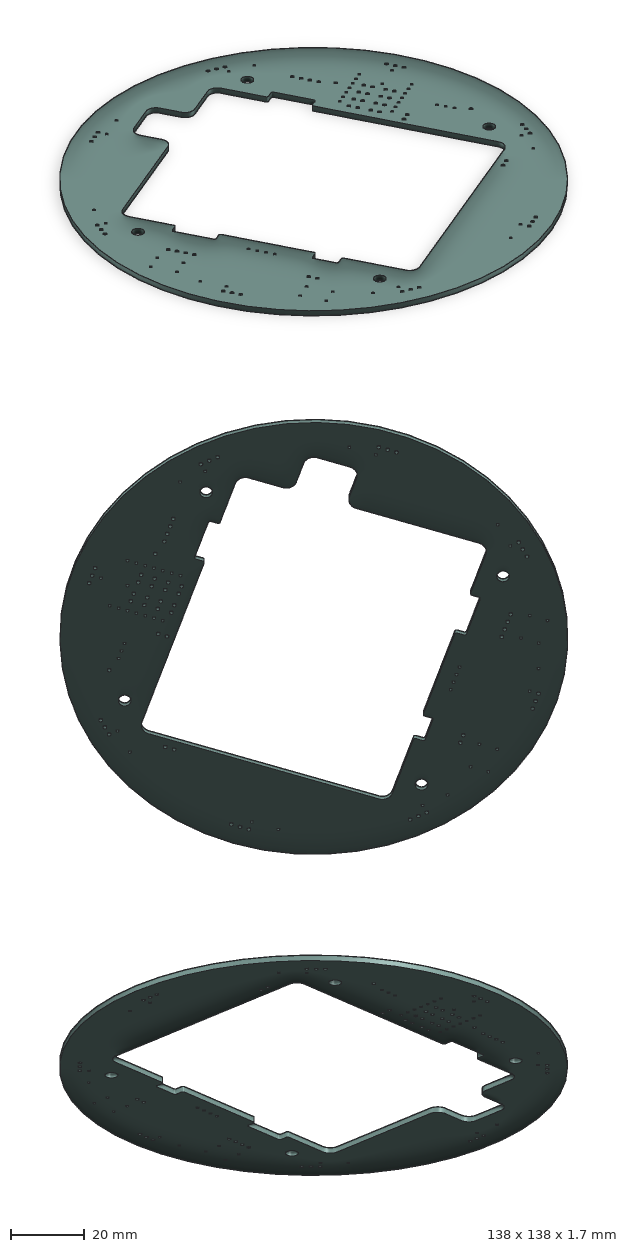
import cadquery as cq
import math

board_diameter = 138
board_thickness = 1.7

window_width = 86.1
window_height = 71.8
corner_radius = 2.9
side_notch_depth = 12.0
side_notch_width = 15.2
side_notch_center_y = 12.7
edge_notch_depth = 3.0
notch_radius = 0.5
wide_notch_width = 12.7
wide_notch_center_x = -20.3
narrow_notch_width = 7.6
narrow_notch_center_x = 17.8

mount_diameter = 3.5
pin_diameter = 1.0
via_diameter = 0.76

mount_offset_x = 35.0
mount_offset_y = 42.5

connector_y = 48.3
connector_start_x = 16.5
connector_length = 7.6
connector_pins = 4
short_connector_pins = 2
pin_pitch = connector_length / (connector_pins - 1)

column_pins = 7
column_spacing = (column_pins - 1) * pin_pitch
column_center_y = connector_y

sensor_count = 8
sensor_radius = 63.5
sensor_via_radius = sensor_radius - pin_pitch
via_spacing = 3 * pin_pitch
top_sensor_angle = 90

grid_pair_x = 3.2
grid_rows = 4
grid_row_pitch = 3.9
grid_center_y = 45.1

upper_row_center_x = 20.3
upper_row_y = connector_y
upper_row_count = 3
lower_row_y = -40.5
lower_row_count = 4

inner_pair_center = (12.0, 39.3)
outer_pair_center = (45.7, 26.1)

button_center_x = 21.7
button_center_y = -55.9
button_leg_span_x = 3 * pin_pitch
button_leg_span_y = 2 * pin_pitch

left_single = (-12.0, 49.4)
right_single = (27.2, 49.5)


def row(center, count, pitch, vertical=False):
    """Evenly spaced points on a straight line about a center."""
    offsets = [(i - (count - 1) / 2) * pitch for i in range(count)]
    if vertical:
        return [(center[0], center[1] + d) for d in offsets]
    return [(center[0] + d, center[1]) for d in offsets]


def rim_point(angle, radius, sideways):
    """Point at a radius along an angle, shifted counterclockwise at right angles to it."""
    c = math.cos(math.radians(angle))
    s = math.sin(math.radians(angle))
    return (radius * c - sideways * s, radius * s + sideways * c)


def box_cutter(x_min, x_max, y_min, y_max):
    """Box through the board with the given edges."""
    box = cq.Workplane("XY").box(x_max - x_min, y_max - y_min, board_thickness, centered=False)
    return box.translate((x_min, y_min, 0))


def window_cutter():
    """Rounded window with a rounded side notch and square notches in its long edges."""
    half_width = window_width / 2
    half_height = window_height / 2
    cutter = box_cutter(-half_width, half_width, -half_height, half_height)
    cutter = cutter.union(
        box_cutter(
            -half_width - side_notch_depth,
            0,
            side_notch_center_y - side_notch_width / 2,
            side_notch_center_y + side_notch_width / 2,
        )
    )
    cutter = cutter.edges("|Z").fillet(corner_radius)

    reach = half_height + edge_notch_depth
    wide_left = wide_notch_center_x - wide_notch_width / 2
    wide_right = wide_notch_center_x + wide_notch_width / 2
    narrow_left = narrow_notch_center_x - narrow_notch_width / 2
    narrow_right = narrow_notch_center_x + narrow_notch_width / 2
    cutter = cutter.union(box_cutter(wide_left, wide_right, -reach, reach))
    cutter = cutter.union(box_cutter(narrow_left, narrow_right, -reach, 0))

    clearance = notch_radius
    notch_corners = cq.selectors.BoxSelector(
        (wide_left - clearance, -reach - clearance, -clearance),
        (narrow_right + clearance, reach + clearance, board_thickness + clearance),
    )
    return cutter.edges("|Z").edges(notch_corners).fillet(notch_radius)


def sensor_holes():
    """Pin and via positions of all the rim sensors."""
    pins = []
    vias = []
    for i in range(sensor_count):
        angle = i * 360 / sensor_count
        pins += [rim_point(angle, sensor_radius, k * pin_pitch) for k in (-1, 0, 1)]
        if angle == top_sensor_angle:
            vias.append(rim_point(angle, sensor_via_radius, 0))
            vias.append(rim_point(angle, sensor_via_radius - via_spacing, 0))
        else:
            vias.append(rim_point(angle, sensor_via_radius, -pin_pitch))
            vias.append(rim_point(angle, sensor_via_radius, -pin_pitch - via_spacing))
    return pins, vias


def module_pins():
    """Two vertical pin columns."""
    points = []
    for side in (-1, 1):
        center = (side * column_spacing / 2, column_center_y)
        points += row(center, column_pins, pin_pitch, vertical=True)
    return points


def grid_holes():
    """Hole grid between the pin columns."""
    points = []
    for _, y in row((0, grid_center_y), grid_rows, grid_row_pitch, vertical=True):
        for side in (-1, 1):
            points += row((side * grid_pair_x, y), 2, pin_pitch)
    return points


def connector_holes():
    """Connectors above and below the window."""
    points = []
    for y in (-connector_y, connector_y):
        points += [(-connector_start_x - i * pin_pitch, y) for i in range(connector_pins)]
    points += [(connector_start_x + i * pin_pitch, -connector_y) for i in range(short_connector_pins)]
    return points


def button_holes():
    """Four legs of each of the two buttons."""
    points = []
    for side in (-1, 1):
        for dx in (-button_leg_span_x / 2, button_leg_span_x / 2):
            for dy in (-button_leg_span_y / 2, button_leg_span_y / 2):
                points.append((side * button_center_x + dx, button_center_y + dy))
    return points


mount_points = [(sx * mount_offset_x, sy * mount_offset_y) for sx in (-1, 1) for sy in (-1, 1)]
sensor_pins, sensor_vias = sensor_holes()

pin_points = sensor_pins + connector_holes() + grid_holes()
pin_points += row(inner_pair_center, 2, pin_pitch, vertical=True)
pin_points += row(outer_pair_center, 2, pin_pitch, vertical=True)
pin_points += [left_single, right_single]

via_points = sensor_vias + module_pins() + button_holes()
via_points += row((upper_row_center_x, upper_row_y), upper_row_count, pin_pitch)
via_points += row((0, lower_row_y), lower_row_count, pin_pitch)

board = cq.Workplane("XY").circle(board_diameter / 2).extrude(board_thickness)
board = board.cut(window_cutter())
for points, diameter in (
    (mount_points, mount_diameter),
    (pin_points, pin_diameter),
    (via_points, via_diameter),
):
    holes = cq.Workplane("XY").pushPoints(points).circle(diameter / 2).extrude(board_thickness)
    board = board.cut(holes)

result = board